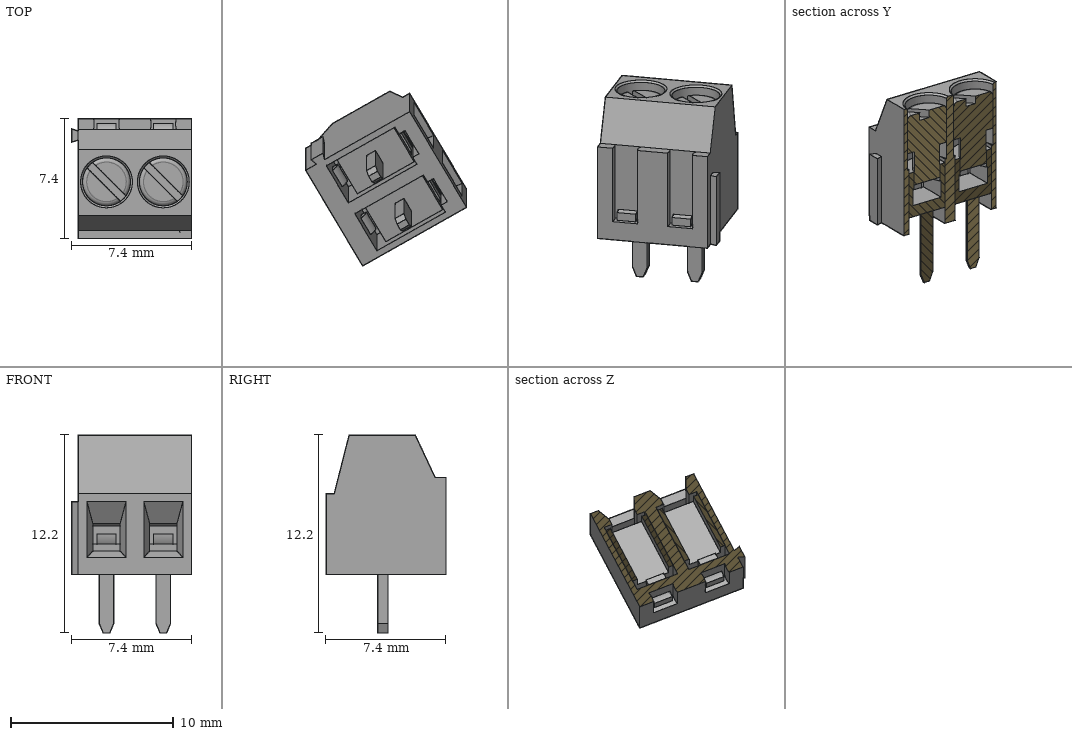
import cadquery as cq
import math


pitch = 3.5
pole_xs = [-pitch / 2, pitch / 2]

housing_width = 2 * pitch
housing_depth = 7.4
housing_height = 8.6
front_ledge_depth = 0.5
front_ledge_z = 5.0
top_front_y = 1.42
top_rear_y = 5.5
rear_ledge_y = 6.72
rear_ledge_z = 6.0

rail_projection = 0.4
rail_height = 4.5
rail_y = 6.36
rail_outer_width = 0.84
rail_root_width = 0.57

entry_outer_width = 2.4
entry_outer_bottom_z = 1.06
entry_outer_top_z = rail_height
entry_inner_width = 1.68
entry_inner_bottom_z = 1.46
entry_inner_top_z = 3.16
funnel_depth = 0.85
chamber_front_y = 1.28

clamp_front_y = 1.48
clamp_bottom_z = 1.1
window_bottom_z = 1.89
window_top_z = 2.99
clamp_top_z = 4.15
clamp_wall = 0.3
window_width = 2.1
clamp_width = window_width + 2 * clamp_wall

screw_y = pitch
well_diameter = 2.95
well_rim_diameter = 3.2
well_chamfer_depth = 0.11
head_top_z = 8.05
head_bottom_z = 5.49
head_edge_radius = 0.26
slot_width = 0.48
slot_depth = 0.5
slot_angle = -45
shank_diameter = 2.0
shank_bottom_z = window_top_z + 0.25

clamp_depth = 2 * (screw_y - clamp_front_y)
chamber_rear_y = 6.16
chamber_top_z = 4.39

tongue_width = 1.2
tongue_axis_y = 7.09
tongue_axis_z = 2.5
tongue_outer_radius = 1.3
tongue_inner_radius = 0.8

recess_floor_z = tongue_axis_z - tongue_outer_radius
recess_half_width = 0.8
recess_waist_half_width = 0.76
recess_waist_y = (rear_ledge_y + housing_depth) / 2

pin_width = 0.92
pin_thickness = 0.63
pin_tip_width = 0.41
pin_taper_z = -3.0
pin_tip_z = -3.6


def box(width, y_min, y_max, z_min, z_max):
    """A box centred on X = 0."""
    corner = (-width / 2, y_min, z_min)
    return cq.Workplane("XY").box(width, y_max - y_min, z_max - z_min, centered=False).translate(corner)


def cylinder(diameter, z_min, z_max):
    """An upright cylinder on the screw axis of a pole at X = 0."""
    base = cq.Workplane("XY", origin=(0, screw_y, z_min))
    return base.circle(diameter / 2).extrude(z_max - z_min)


def housing_block():
    outline = [
        (0, 0),
        (housing_depth, 0),
        (housing_depth, rear_ledge_z),
        (rear_ledge_y, rear_ledge_z),
        (top_rear_y, housing_height),
        (top_front_y, housing_height),
        (front_ledge_depth, front_ledge_z),
        (0, front_ledge_z),
    ]
    return cq.Workplane("YZ").polyline(outline).close().extrude(housing_width / 2, both=True)


def rail():
    root_x = -housing_width / 2
    outer_x = root_x - rail_projection
    outline = [
        (root_x, rail_y - rail_root_width / 2),
        (root_x, rail_y + rail_root_width / 2),
        (outer_x, rail_y + rail_outer_width / 2),
        (outer_x, rail_y - rail_outer_width / 2),
    ]
    return cq.Workplane("XY").polyline(outline).close().extrude(rail_height)


def entry_section(y, width, z_min, z_max):
    """The rectangular outline of the wire entry at one depth."""
    corners = [(-width / 2, z_min), (width / 2, z_min), (width / 2, z_max), (-width / 2, z_max)]
    return cq.Wire.makePolygon([cq.Vector(x, y, z) for x, z in corners], close=True)


def wire_entry():
    mouth = entry_section(0, entry_outer_width, entry_outer_bottom_z, entry_outer_top_z)
    throat = entry_section(funnel_depth, entry_inner_width, entry_inner_bottom_z, entry_inner_top_z)
    passage_front = entry_section(funnel_depth, entry_inner_width, 0, entry_inner_top_z)
    passage_rear = entry_section(chamber_front_y, entry_inner_width, 0, window_top_z)
    funnel = cq.Solid.makeLoft([mouth, throat], True)
    passage = cq.Solid.makeLoft([passage_front, passage_rear], True)
    return cq.Workplane(funnel).union(cq.Workplane(passage))


def screw_well():
    rim = cq.Solid.makeCone(
        well_diameter / 2,
        well_rim_diameter / 2,
        well_chamfer_depth,
        pnt=cq.Vector(0, screw_y, housing_height - well_chamfer_depth),
    )
    return cylinder(well_diameter, chamber_top_z, housing_height).union(cq.Workplane(rim))


def rear_recess():
    outline = (
        cq.Workplane("XY", origin=(0, 0, recess_floor_z))
        .moveTo(-recess_half_width, rear_ledge_y)
        .lineTo(recess_half_width, rear_ledge_y)
        .threePointArc((recess_waist_half_width, recess_waist_y), (recess_half_width, housing_depth))
        .lineTo(-recess_half_width, housing_depth)
        .threePointArc((-recess_waist_half_width, recess_waist_y), (-recess_half_width, rear_ledge_y))
        .close()
    )
    return outline.extrude(rear_ledge_z - recess_floor_z)


def tongue():
    """A quarter-round strip that starts upright in the chamber and ends level in the recess."""
    diagonal = math.sqrt(0.5)
    outer_offset = tongue_outer_radius * diagonal
    inner_offset = tongue_inner_radius * diagonal
    outer_mid = (tongue_axis_y - outer_offset, tongue_axis_z - outer_offset)
    inner_mid = (tongue_axis_y - inner_offset, tongue_axis_z - inner_offset)
    profile = (
        cq.Workplane("YZ")
        .moveTo(tongue_axis_y - tongue_outer_radius, tongue_axis_z)
        .threePointArc(outer_mid, (tongue_axis_y, tongue_axis_z - tongue_outer_radius))
        .lineTo(tongue_axis_y, tongue_axis_z - tongue_inner_radius)
        .threePointArc(inner_mid, (tongue_axis_y - tongue_inner_radius, tongue_axis_z))
        .close()
    )
    return profile.extrude(tongue_width / 2, both=True)


def make_housing():
    chamber = box(clamp_width, chamber_front_y, chamber_rear_y, 0, chamber_top_z)
    pole_cut = chamber.union(wire_entry()).union(screw_well()).union(rear_recess())
    body = housing_block().union(rail())
    for x in pole_xs:
        body = body.cut(pole_cut.translate((x, 0, 0)))
        body = body.union(tongue().translate((x, 0, 0)))
    return body


def make_clamp(x):
    """A rectangular cage with a wire window along Y and a hole for the screw shank."""
    rear_y = clamp_front_y + clamp_depth
    cage = box(clamp_width, clamp_front_y, rear_y, clamp_bottom_z, clamp_top_z)
    window = box(window_width, clamp_front_y, rear_y, window_bottom_z, window_top_z)
    screw_hole = cylinder(shank_diameter, window_top_z, clamp_top_z)
    return cage.cut(window).cut(screw_hole).translate((x, 0, 0))


def make_screw(x):
    """A slotted screw with a rounded head edge."""
    head = cylinder(well_diameter, head_bottom_z, head_top_z).faces(">Z").edges().fillet(head_edge_radius)
    slot = (
        cq.Workplane("XY")
        .box(2 * well_diameter, slot_width, slot_depth, centered=(True, True, False))
        .rotate((0, 0, 0), (0, 0, 1), slot_angle)
        .translate((0, screw_y, head_top_z - slot_depth))
    )
    shank = cylinder(shank_diameter, shank_bottom_z, head_bottom_z)
    return head.cut(slot).union(shank).translate((x, 0, 0))


def make_pin(x):
    """A flat leg with a tapered tip that stands under the clamp."""
    outline = [
        (-pin_width / 2, clamp_bottom_z),
        (-pin_width / 2, pin_taper_z),
        (-pin_tip_width / 2, pin_tip_z),
        (pin_tip_width / 2, pin_tip_z),
        (pin_width / 2, pin_taper_z),
        (pin_width / 2, clamp_bottom_z),
    ]
    leg = cq.Workplane("XZ").polyline(outline).close().extrude(pin_thickness / 2, both=True)
    return leg.translate((x, screw_y, 0))


housing = make_housing()
clamps = [make_clamp(x) for x in pole_xs]
screws = [make_screw(x) for x in pole_xs]
pins = [make_pin(x) for x in pole_xs]

result = cq.Compound.makeCompound([body.val() for body in [housing, *clamps, *screws, *pins]])